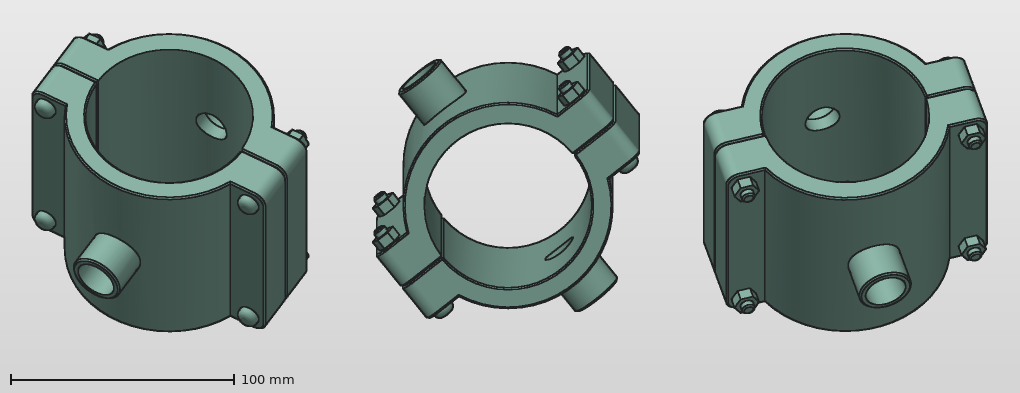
import cadquery as cq

width = 122.0
height = 98.0
shell_diameter = 94.0
bore_diameter = 75.0
flange_thickness = 18.7
corner_radius = 6.0
edge_chamfer = 0.8

stub_reach = 64.0
stub_length = 20.0
stub_diameter = 24.2
stub_bore_diameter = 18.7
stub_chamfer = 0.8
port_diameter = 16.0
stub_seat = stub_reach - stub_length

screw_x = 53.0
screw_z = 41.0
screw_diameter = 6.0
tip_length = 3.2
tip_chamfer = 0.8
head_diameter = 10.0
head_height = 4.0
head_fillet = 3.0
nut_flats = 10.0
nut_thickness = 5.0
nut_corners = nut_flats / 0.75**0.5
screw_places = [(x, z) for x in (-screw_x, screw_x) for z in (-screw_z, screw_z)]

FRONT = -1
REAR = 1
outward_face = {FRONT: "<Y", REAR: ">Y"}
split_face = {FRONT: ">Y", REAR: "<Y"}


def bar_along_y(diameter, start, end, x=0, z=0):
    """Round bar from y = start to y = end."""
    return cq.Workplane("XZ", origin=(x, start, z)).circle(diameter / 2).extrude(start - end)


def upright_cylinder(diameter):
    """Cylinder about the Z axis, over the full height of the clamp."""
    return cq.Workplane("XY", origin=(0, 0, -height / 2)).circle(diameter / 2).extrude(height)


def flange_plate(side):
    """Plate across the full width, with round corners and a chamfered outer face."""
    plate = cq.Workplane("XY").box(width, flange_thickness, height).edges("|Y").fillet(corner_radius)
    plate = plate.faces(outward_face[side]).edges().chamfer(edge_chamfer)
    return plate.translate((0, side * flange_thickness / 2, 0))


def half_shell(side):
    """Half cylinder with its outer top and bottom edges chamfered, before boring."""
    drum = upright_cylinder(shell_diameter).faces("<Z or >Z").edges().chamfer(edge_chamfer)
    half_space = cq.Workplane("XY").box(width, width, height).translate((0, side * width / 2, 0))
    return drum.intersect(half_space)


def clamp_half(side, bore_ends_chamfered):
    """One side of the clamp; the chamfers round its split face form the groove at y = 0."""
    half = flange_plate(side).union(half_shell(side)).cut(upright_cylinder(bore_diameter))
    if bore_ends_chamfered:
        half = half.faces("<Z or >Z").edges(cq.selectors.RadiusNthSelector(0)).chamfer(edge_chamfer)
    half = half.faces(split_face[side]).edges().chamfer(edge_chamfer)
    half = half.cut(bar_along_y(port_diameter, 0, side * stub_reach))
    return half.cut(bar_along_y(stub_diameter, side * stub_seat, side * stub_reach))


def screw_head(x, z):
    """Round head on the front flange, with a large fillet that leaves a small flat end."""
    head = bar_along_y(head_diameter, -flange_thickness, -flange_thickness - head_height, x, z)
    return head.faces(outward_face[FRONT]).edges().fillet(head_fillet)


def nut_with_screw_tip(x, z):
    """Hexagon nut on the rear flange, with the screw tip coming out of it."""
    nut_end = flange_thickness + nut_thickness
    nut = cq.Workplane("XZ", origin=(x, flange_thickness, z)).polygon(6, nut_corners).extrude(-nut_thickness)
    tip = bar_along_y(screw_diameter, flange_thickness, nut_end + tip_length, x, z)
    return nut.union(tip.faces(outward_face[REAR]).edges().chamfer(tip_chamfer))


def pipe_stub(side):
    """Tube from its seat in the shell outwards, chamfered round its outer end."""
    bar = bar_along_y(stub_diameter, side * stub_seat, side * stub_reach)
    bar = bar.faces(outward_face[side]).edges().chamfer(stub_chamfer)
    return bar.cut(bar_along_y(stub_bore_diameter, side * stub_seat, side * stub_reach))


front_half = clamp_half(FRONT, bore_ends_chamfered=True)
rear_half = clamp_half(REAR, bore_ends_chamfered=False)
clamp = front_half.union(rear_half)
for x, z in screw_places:
    clamp = clamp.union(screw_head(x, z)).union(nut_with_screw_tip(x, z))

pipe_stubs = [pipe_stub(side) for side in (FRONT, REAR)]

result = cq.Compound.makeCompound([clamp.val(), *[stub.val() for stub in pipe_stubs]])